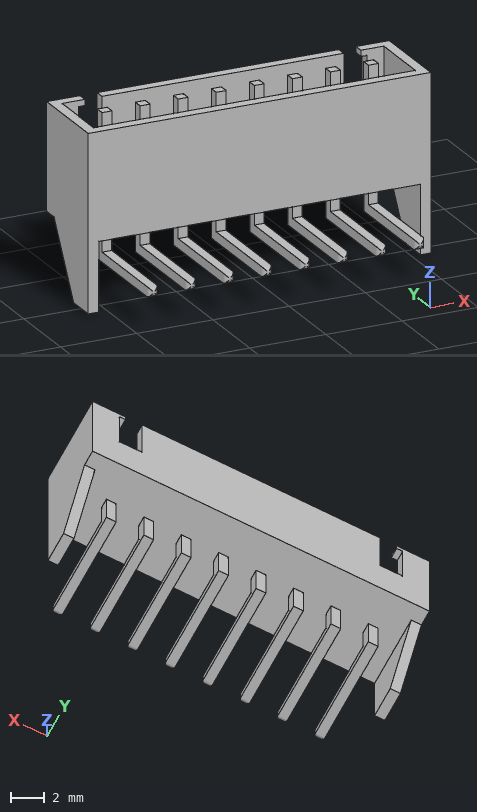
import cadquery as cq

length = 22.5
depth = 5.7
height = 11.5
wall = 0.7
box_height = 7.0
box_bottom = height - box_height
floor_thickness = 2.0

leg_foot_depth = 2.0
leg_rear_setback = 1.01

slot_offset = 2.2
slot_mouth_width = 1.1
slot_depth = 3.85
lip_overhang = 0.4
lip_height = 0.4

pin_count = 8
pin_pitch = 2.5
pin_width = 0.65
pin_y = 2.97
pin_z = 2.3
pin_reach = 3.74
pin_tip_radius = 0.3


def block(x_range, y_range, z_range):
    """Axis-aligned box given by its limits along each axis."""
    size = [high - low for low, high in (x_range, y_range, z_range)]
    corner = (x_range[0], y_range[0], z_range[0])
    return cq.Workplane("XY").box(*size, centered=False).translate(corner)


def make_housing():
    """Open-topped box standing on two tapered side legs."""
    side_profile = [
        (0, 0),
        (leg_foot_depth, 0),
        (depth - leg_rear_setback, box_bottom),
        (depth, box_bottom),
        (depth, height),
        (0, height),
    ]
    body = (
        cq.Workplane("YZ")
        .polyline(side_profile)
        .close()
        .extrude(length / 2, both=True)
    )
    inside_x = (wall - length / 2, length / 2 - wall)
    cavity = block(inside_x, (wall, depth - wall), (box_bottom + floor_thickness, height))
    space_between_legs = block(inside_x, (0, depth), (0, box_bottom))
    return body.cut(cavity).cut(space_between_legs)


def make_slot():
    """Cutter for the slot at the -X end of the rear wall."""
    lip_edge = slot_offset - length / 2
    inner_edge = lip_edge + slot_mouth_width
    wall_y = (depth - wall, depth)
    slot_bottom = height - slot_depth
    mouth = block((lip_edge, inner_edge), wall_y, (slot_bottom, height))
    below_lip = block(
        (lip_edge - lip_overhang, inner_edge), wall_y, (slot_bottom, height - lip_height)
    )
    return mouth.union(below_lip)


def make_pin():
    """Pin at X = 0: an upright leg and a forward leg with a rounded tip."""
    half = pin_width / 2
    width = (-half, half)
    rear = pin_y + half
    upright = block(width, (pin_y - half, rear), (pin_z - half, height))
    forward = block(width, (-pin_reach, rear), (pin_z - half, pin_z + half))
    rounded_forward = forward.faces("<Y").edges().fillet(pin_tip_radius)
    return upright.union(rounded_forward)


slot = make_slot()
result = make_housing().cut(slot).cut(slot.mirror("YZ"))

pin = make_pin()
for index in range(pin_count):
    pin_x = (index - (pin_count - 1) / 2) * pin_pitch
    result = result.union(pin.translate((pin_x, 0, 0)))